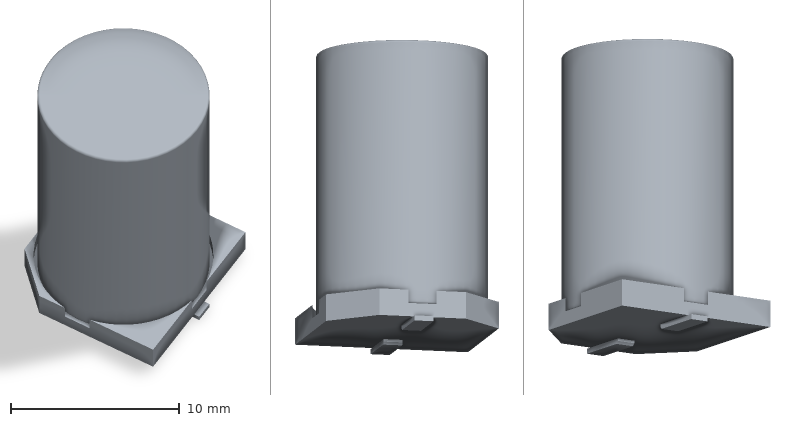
import cadquery as cq

total_height = 17.0
overall_length = 11.2

base_size = 10.5
base_height = 1.6
corner_cut = 2.62
seat_diameter = 10.65
seat_depth = 0.8

can_diameter = 10.2
can_edge_radius = 0.15

lead_length = 3.33
lead_width = 1.15
lead_thickness = 0.3
lead_tip_chamfer = 0.15

base_bottom = lead_thickness
base_top = base_bottom + base_height
seat_floor = base_top - seat_depth


def make_base():
    """Square plate with its two -X corners cut and a shallow round seat on top."""
    plate = (
        cq.Workplane("XY")
        .workplane(offset=base_bottom)
        .rect(base_size, base_size)
        .extrude(base_height)
        .edges("|Z and <X")
        .chamfer(corner_cut)
    )
    seat = cq.Workplane("XY").workplane(offset=seat_floor).circle(seat_diameter / 2).extrude(seat_depth)
    return plate.cut(seat)


def make_can():
    """Cylinder standing on the seat floor, rounded at both rims."""
    return (
        cq.Workplane("XY")
        .workplane(offset=seat_floor)
        .circle(can_diameter / 2)
        .extrude(total_height - seat_floor)
        .edges("%CIRCLE")
        .fillet(can_edge_radius)
    )


def make_lead(side):
    """Flat lead on the +X (side = 1) or -X (side = -1) end, bevelled below its inner tip."""
    outer_x = side * overall_length / 2
    inner_x = outer_x - side * lead_length
    return (
        cq.Workplane("XZ")
        .moveTo(outer_x, 0)
        .lineTo(outer_x, lead_thickness)
        .lineTo(inner_x, lead_thickness)
        .lineTo(inner_x, lead_tip_chamfer)
        .lineTo(inner_x + side * lead_tip_chamfer, 0)
        .close()
        .extrude(lead_width / 2, both=True)
    )


base = make_base()
can = make_can()
leads = [make_lead(side) for side in (-1, 1)]

result = cq.Compound.makeCompound([base.val(), can.val(), *[lead.val() for lead in leads]])